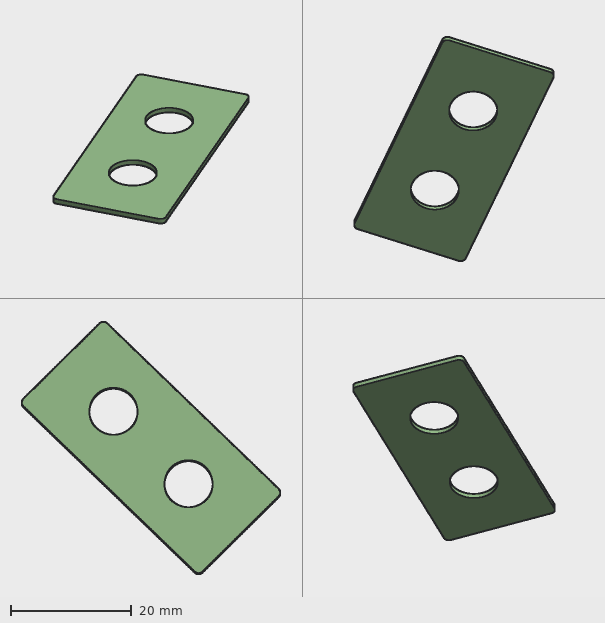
import cadquery as cq

width = 19.8
length = 41.8
thickness = 0.9
corner_radius = 0.9

hole_diameter = 8.0
hole_spacing = 17.5


def rounded_plate():
    """Flat plate with its four upright corners rounded."""
    return cq.Workplane("XY").box(width, length, thickness).edges("|Z").fillet(corner_radius)


def cut_openings(plate):
    """Cut the round openings straight through the plate."""
    centres = [(0, side * hole_spacing / 2) for side in (-1, 1)]
    return plate.faces(">Z").workplane(origin=(0, 0, 0)).pushPoints(centres).hole(hole_diameter)


result = cut_openings(rounded_plate())